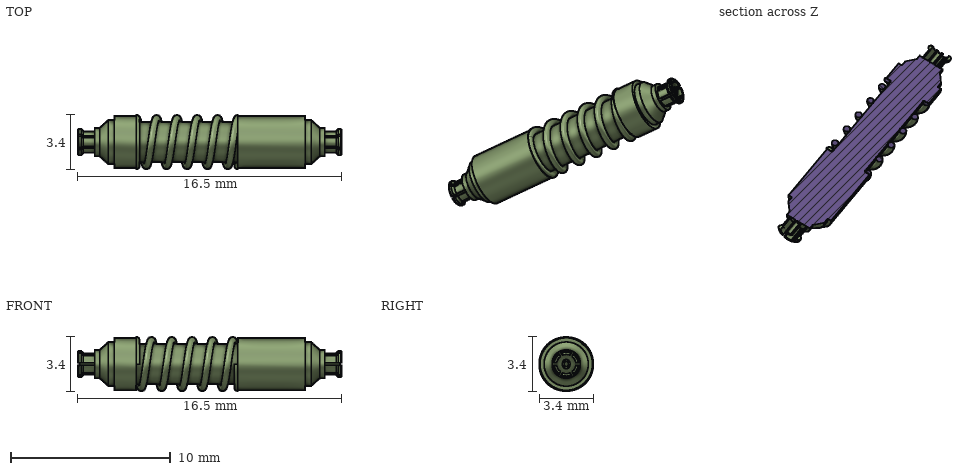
import cadquery as cq


overall_length = 16.54
tip_x = overall_length / 2
lip_back_x = tip_x - 0.22
neck_front_x = tip_x - 0.37
collar_front_x = 7.2
collar_back_x = 6.89
shoulder_front_x = 6.34
barrel_end_x = 5.97
spring_start_x = -4.6
spring_end_x = 1.76

lip_radius = 0.83
lip_chamfer = 0.08
neck_radius = 0.68
collar_radius = 0.89
shoulder_radius = 1.385
barrel_radius = 1.64
waist_radius = 1.26

socket_radius = 0.6
slot_count = 6
slot_width = 0.15
contact_half_width = 0.24
contact_half_height = 0.29
contact_wall = 0.11
contact_length = 0.95

spring_outer_radius = 1.7
wire_diameter = 0.44
coil_turns = 5


def revolve_about_x(points):
    """Turn a profile of (x, radius) points about the X axis."""
    return cq.Workplane("XY").polyline(points).close().revolve(360, (0, 0, 0), (1, 0, 0))


def nose_profile():
    """(x, radius) corners of one nose, from the tip back to the barrel, on the +X side."""
    return [
        (tip_x, lip_radius - lip_chamfer),
        (tip_x - lip_chamfer, lip_radius),
        (lip_back_x, lip_radius),
        (neck_front_x, neck_radius),
        (collar_front_x, neck_radius),
        (collar_front_x, collar_radius),
        (collar_back_x, collar_radius),
        (shoulder_front_x, shoulder_radius),
        (barrel_end_x, shoulder_radius),
        (barrel_end_x, barrel_radius),
    ]


def make_turned_blank():
    right_nose = nose_profile()
    left_nose = [(-x, radius) for x, radius in right_nose]
    waist = [
        (spring_start_x, barrel_radius),
        (spring_start_x, waist_radius),
        (spring_end_x, waist_radius),
        (spring_end_x, barrel_radius),
    ]
    outline = [(-tip_x, 0)] + left_nose + waist + right_nose[::-1] + [(tip_x, 0)]
    return revolve_about_x(outline)


def make_socket_cutter():
    """Round socket with six slots through its wall, leaving a hollow oval contact; on the +X end."""
    floor = cq.Workplane("YZ", origin=(collar_front_x, 0, 0))
    socket_depth = tip_x - collar_front_x
    socket = floor.circle(socket_radius).extrude(socket_depth)
    for index in range(slot_count // 2):
        slot = floor.rect(2 * lip_radius, slot_width).extrude(socket_depth)
        socket = socket.union(slot.rotate((0, 0, 0), (1, 0, 0), index * 360 / slot_count))

    contact = (
        floor
        .ellipse(contact_half_width, contact_half_height)
        .ellipse(contact_half_width - contact_wall, contact_half_height - contact_wall)
        .extrude(contact_length)
    )
    return socket.cut(contact)


def make_body():
    cutter = make_socket_cutter()
    return make_turned_blank().cut(cutter).cut(cutter.mirror("YZ"))


def wire_section(coil_radius):
    return cq.Workplane("XZ").center(coil_radius, 0).circle(wire_diameter / 2)


def make_spring():
    """Left-hand coil whose end half-turns lie flat and are ground flush with the barrel faces."""
    coil_radius = spring_outer_radius - wire_diameter / 2
    coil_length = spring_end_x - spring_start_x

    helix = cq.Wire.makeHelix(coil_length / coil_turns, coil_length, coil_radius, lefthand=True)
    coil = wire_section(coil_radius).sweep(cq.Workplane(obj=helix), isFrenet=True)

    first_half_turn = wire_section(coil_radius).revolve(180, (-coil_radius, 0), (-coil_radius, 1))
    last_half_turn = first_half_turn.rotate((0, 0, 0), (0, 0, 1), 180).translate((0, 0, coil_length))
    ground_space = cq.Workplane("XY").circle(2 * spring_outer_radius).extrude(coil_length)
    spring = coil.union(first_half_turn).union(last_half_turn).intersect(ground_space)

    return spring.rotate((0, 0, 0), (1, 1, 1), 120).translate((spring_start_x, 0, 0))


body = make_body()
spring = make_spring()

result = cq.Compound.makeCompound([body.val(), *spring.vals()])